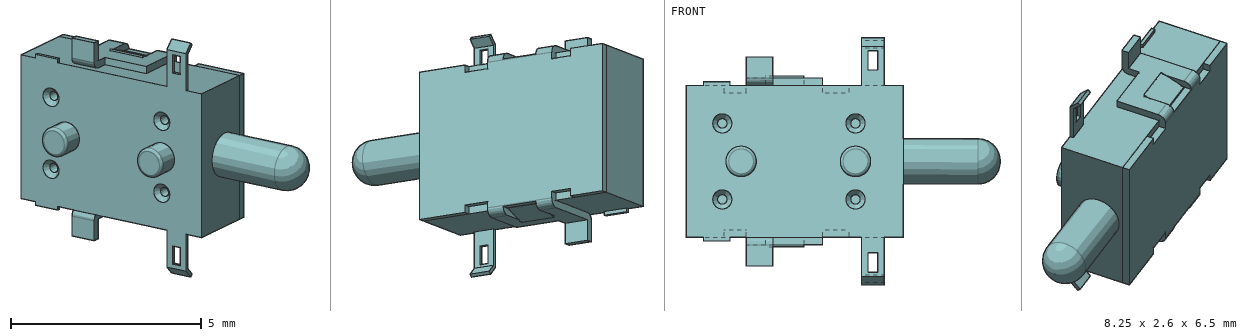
import cadquery as cq
import math


total_length = 8.25
case_length = 5.7
case_height = 3.99
case_depth = 2.0
half_height = case_height / 2

sheet = 0.2
housing_depth = case_depth - sheet

post_diameter = 0.8
post_length = 0.6
post_edge_radius = 0.075
post_left_x = 1.44
post_spacing = 3.0
post_right_x = post_left_x + post_spacing

hole_diameter = 0.25
countersink_diameter = 0.5
countersink_depth = (countersink_diameter - hole_diameter) / 2
hole_depth = 0.495
hole_left_x = 0.95
hole_right_x = post_right_x
hole_row_z = 1.0

lug_start_x = 0.45
lug_length = 0.7
lug_size = 0.1

leg_start_x = 4.6
leg_width = 0.6
leg_thickness = 0.1
leg_bend_z = 3.02
leg_tip_z = 3.25
leg_slot_width = 0.25
leg_slot_start_z = 2.4
leg_slot_end_z = 2.9
leg_bend_angle = 45.0

clip_start_x = 1.575
clip_width = 2.005
foot_width = 0.7
foot_tip_z = 2.75
foot_front_y = 0.05
arm_front_y = 0.56
arm_outer_z = half_height + sheet
back_bend_radius = 0.22

window_start_x = 2.08
window_width = 1.015
window_front_y = 1.105
hook_height = 0.25
hook_back_y = case_depth - back_bend_radius
hook_root_z = half_height - lug_size

relief_start_x = 1.0
relief_end_x = 4.28
relief_depth = sheet

plunger_diameter = 1.2
plunger_y = 1.1
dome_radius = 0.585


def box(x_range, y_range, z_range):
    """Box that fills the given ranges."""
    corner = (x_range[0], y_range[0], z_range[0])
    size = (x_range[1] - x_range[0], y_range[1] - y_range[0], z_range[1] - z_range[0])
    return cq.Workplane("XY").box(*size, centered=False).translate(corner)


def side_profile(start_x):
    """Workplane across X whose local axes are the global Y and Z."""
    return cq.Workplane("YZ", origin=(start_x, 0, 0))


def make_post(x):
    """Locating post with a rounded end edge."""
    post = cq.Workplane("XZ", origin=(x, 0, 0)).circle(post_diameter / 2).extrude(post_length)
    return post.faces("<Y").edges().fillet(post_edge_radius)


def make_countersunk_hole(x, z):
    """Cutter: a cone at the front face that leads into a blind hole."""
    half_profile = [
        (0, 0),
        (countersink_diameter / 2, 0),
        (hole_diameter / 2, countersink_depth),
        (hole_diameter / 2, hole_depth),
        (0, hole_depth),
    ]
    cutter = cq.Workplane("XY").polyline(half_profile).close().revolve(360, (0, 0), (0, 1))
    return cutter.translate((x, 0, z))


def make_lug():
    """Upper lug, rooted inside the housing."""
    return box(
        (lug_start_x, lug_start_x + lug_length),
        (0, lug_size),
        (half_height - lug_size, half_height + lug_size),
    )


def make_leg():
    """Upper terminal leg with a slot and a tip bent backward."""
    angle = math.radians(leg_bend_angle)
    rise = leg_tip_z - leg_bend_z
    tip_y = rise * math.tan(angle)
    inner_bend_z = leg_bend_z - leg_thickness * math.tan(angle / 2)
    root_z = half_height - leg_thickness
    outline = [
        (0, root_z),
        (0, leg_bend_z),
        (tip_y, leg_tip_z),
        (tip_y + leg_thickness * math.cos(angle), leg_tip_z - leg_thickness * math.sin(angle)),
        (leg_thickness, inner_bend_z),
        (leg_thickness, root_z),
    ]
    leg = side_profile(leg_start_x).polyline(outline).close().extrude(leg_width)
    slot_start_x = leg_start_x + (leg_width - leg_slot_width) / 2
    slot = box(
        (slot_start_x, slot_start_x + leg_slot_width), (0, leg_thickness), (leg_slot_start_z, leg_slot_end_z)
    )
    return leg.cut(slot)


def make_hook():
    """Wedge that rises toward the front end of the clip window."""
    outline = [
        (hook_back_y, half_height),
        (window_front_y, half_height + hook_height),
        (window_front_y, hook_root_z),
        (hook_back_y, hook_root_z),
    ]
    return side_profile(window_start_x).polyline(outline).close().extrude(window_width)


def make_housing():
    body = box((0, case_length), (0, housing_depth), (-half_height, half_height))
    for feature in (make_lug(), make_leg(), make_hook()):
        body = body.union(feature).union(feature.mirror("XY"))
    for x in (post_left_x, post_right_x):
        body = body.union(make_post(x))
    for x in (hole_left_x, hole_right_x):
        for z in (-hole_row_z, hole_row_z):
            body = body.cut(make_countersunk_hole(x, z))
    return body


def make_clip():
    """Upper clip: root in the cover plate, rounded back bend, arm, and foot turned upward."""
    root_z = half_height - relief_depth
    foot_back_y = foot_front_y + sheet
    back_bend_y = case_depth - back_bend_radius
    back_bend_z = arm_outer_z - back_bend_radius
    back_bend_offset = back_bend_radius * math.sqrt(0.5)
    foot_bend_offset = sheet * math.sqrt(0.5)
    clip = (
        side_profile(clip_start_x)
        .moveTo(housing_depth, root_z)
        .lineTo(case_depth, root_z)
        .lineTo(case_depth, back_bend_z)
        .threePointArc(
            (back_bend_y + back_bend_offset, back_bend_z + back_bend_offset), (back_bend_y, arm_outer_z)
        )
        .lineTo(foot_back_y, arm_outer_z)
        .lineTo(foot_back_y, foot_tip_z)
        .lineTo(foot_front_y, foot_tip_z)
        .lineTo(foot_front_y, arm_outer_z)
        .threePointArc(
            (foot_back_y - foot_bend_offset, arm_outer_z - foot_bend_offset), (foot_back_y, half_height)
        )
        .lineTo(housing_depth, half_height)
        .close()
        .extrude(clip_width)
    )
    beside_foot = box(
        (clip_start_x + foot_width, clip_start_x + clip_width), (0, arm_front_y), (half_height, foot_tip_z)
    )
    window = box(
        (window_start_x, window_start_x + window_width),
        (window_front_y, case_depth),
        (half_height, arm_outer_z),
    )
    return clip.cut(beside_foot).cut(window)


def make_cover():
    """Back plate with a wide notch in its top and bottom edges, each with a clip in it."""
    cover = box((0, case_length), (housing_depth, case_depth), (-half_height, half_height))
    notch = box(
        (relief_start_x, relief_end_x), (housing_depth, case_depth), (half_height - relief_depth, half_height)
    )
    clip = make_clip()
    return cover.cut(notch).cut(notch.mirror("XY")).union(clip).union(clip.mirror("XY"))


def make_plunger():
    """Round rod that stands on the right face of the housing and ends in a dome with a tiny flat tip."""
    rod = (
        cq.Workplane("YZ", origin=(case_length, plunger_y, 0))
        .circle(plunger_diameter / 2)
        .extrude(total_length - case_length)
    )
    return rod.faces(">X").edges().fillet(dome_radius)


housing = make_housing()
cover = make_cover()
plunger = make_plunger()

result = cq.Compound.makeCompound(
    [housing.solids().val(), cover.solids().val(), plunger.solids().val()]
)